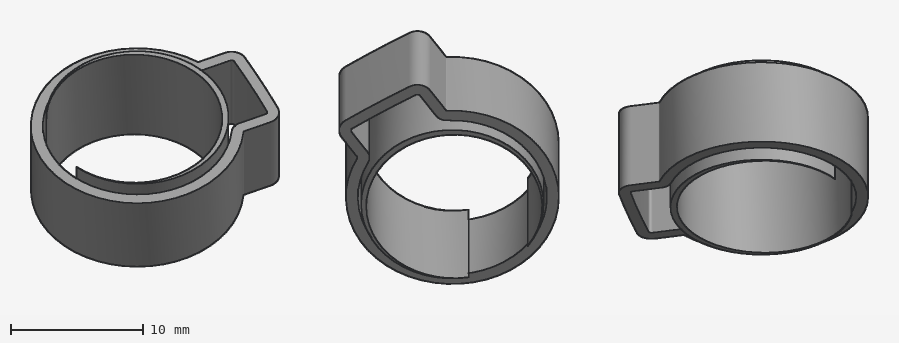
import cadquery as cq
import math

overall_length = 18.49
band_diameter = 16.1
band_radius = band_diameter / 2
band_thickness = 0.9
band_height = 7.0
ear_half_width = 4.0
ear_top = overall_length - band_radius
ear_crown_radius = 83.2
ear_corner_radius = 1.15
ear_foot_radius = 0.1

insert_radius = 6.9
insert_height = 8.8
insert_thickness = 0.5
insert_gap_half_width = 2.66

insert_bore_offset = insert_thickness / 2
insert_bore_radius = insert_radius - insert_bore_offset


def upright_cylinder(radius, height, y=0):
    """Cylinder along Z, centred on the XY plane."""
    return cq.Workplane("XY").center(0, y).circle(radius).extrude(height / 2, both=True)


def mirrored_edges(x, y):
    """Selector for the upright edges at (x, y) and (-x, y)."""
    right = cq.selectors.NearestToPointSelector((x, y, 0))
    left = cq.selectors.NearestToPointSelector((-x, y, 0))
    return right + left


def band_envelope(inset, corner_radius, foot_radius):
    """Filled shape of the band, moved inward by the inset."""
    radius = band_radius - inset
    half_width = ear_half_width - inset
    top = ear_top - inset
    crown_radius = ear_crown_radius - inset
    crown_drop = crown_radius - math.sqrt(crown_radius**2 - half_width**2)
    foot_y = math.sqrt(radius**2 - half_width**2)

    ear = (
        cq.Workplane("XY")
        .moveTo(-half_width, 0)
        .lineTo(half_width, 0)
        .lineTo(half_width, top - crown_drop)
        .threePointArc((0, top), (-half_width, top - crown_drop))
        .close()
        .extrude(band_height / 2, both=True)
    )
    body = upright_cylinder(radius, band_height).union(ear)

    corners = mirrored_edges(half_width, top - crown_drop)
    feet = mirrored_edges(half_width, foot_y)
    return body.edges(corners).fillet(corner_radius).edges(feet).fillet(foot_radius)


def make_band():
    outside = band_envelope(0, ear_corner_radius, ear_foot_radius)
    inside = band_envelope(
        band_thickness,
        ear_corner_radius - band_thickness,
        ear_foot_radius + band_thickness,
    )
    return outside.cut(inside).solids()


def make_insert():
    sleeve = upright_cylinder(insert_radius, insert_height)
    bore = upright_cylinder(insert_bore_radius, insert_height, -insert_bore_offset)
    gap = (
        cq.Workplane("XY")
        .center(0, -insert_radius)
        .rect(2 * insert_gap_half_width, insert_radius)
        .extrude(insert_height / 2, both=True)
    )
    return sleeve.cut(gap).cut(bore).solids()


band = make_band()
insert = make_insert()

result = cq.Compound.makeCompound([band.val(), insert.val()])